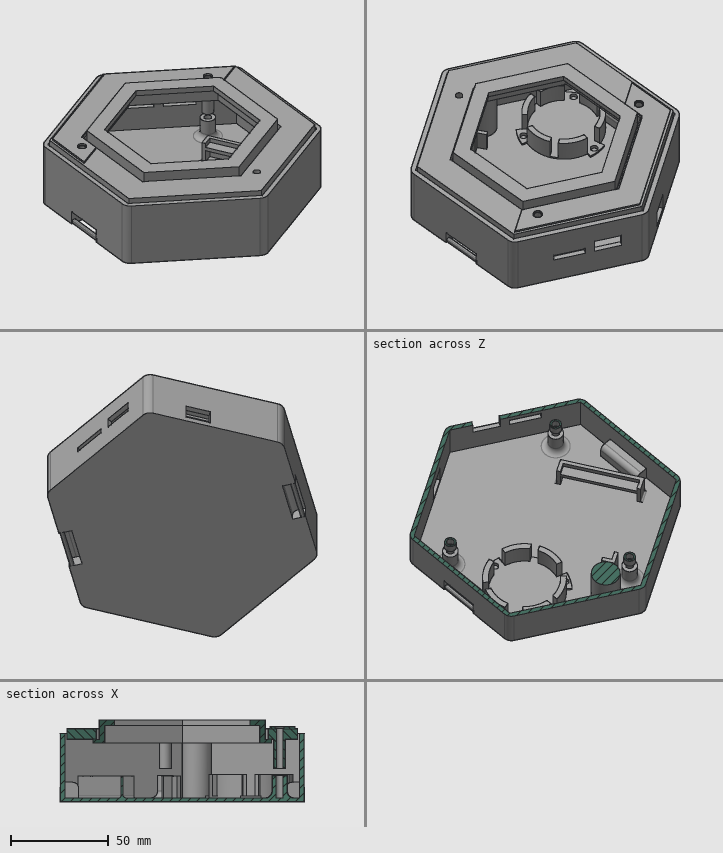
import cadquery as cq
import math


LENGTH_X = 142.8
CORNER_RADIUS = 5.1
WALL = 2.5
FLOOR = 2.0
RIB = 2.0
COS30 = math.cos(math.radians(30))
ROUNDED_CORNER_LOSS = 2 * CORNER_RADIUS * (1 / COS30 - 1)
HOUSING_FLATS = (LENGTH_X + ROUNDED_CORNER_LOSS) * COS30
CAVITY_FLATS = HOUSING_FLATS - 2 * WALL

HOUSING_TOP = 35.0
LID_TOP = 37.4
LID_BOTTOM = 32.0
PLATE_TOP = 38.4
FRAME_TOP = 42.0
FRAME_BOTTOM = 30.0
POST_TOP = 13.4
BOSS_BOTTOM = 17.0

LID_FLATS = 118.2
LID_OPENING_FLATS = 88.0
PLATE_OUTER_FLATS = 115.7
PLATE_INNER_FLATS = 89.7
PLATE_OUTER_TAIL = 27.3
PLATE_INNER_TAIL = 12.3
FRAME_OUTER_FLATS = 85.1
FRAME_CAVITY_FLATS = 79.1
FRAME_WINDOW_FLATS = 69.3
FRAME_FLANGE_FLATS = 91.4
FRAME_LIP = 3.0

SCREW_CIRCLE_RADIUS = 53.3
SCREW_ANGLES = [9.4 + step * 120 for step in range(3)]
LID_HOLE = 3.7
PLATE_HOLE = 4.7
POST_HOLE = 3.9
POST_DIAMETER = 8.0
POST_BASE_FILLET = 3.4
BOSS_DIAMETER = 6.1

CORNER_POST_DIAMETER = 15.0
CORNER_POST_PLACE = (51.4, -7.4)

POWER_WINDOW = (210, -9.0, 3.4, 12.9, 10.0)
SWITCH_WINDOW = (150, 15.1, 15.1, 14.4, 7.4)
CARD_WINDOW = (150, -5.4, 15.1, 16.8, 3.4)

STRAP_WIDTH = 21.1
STRAP_HEIGHT = 7.4
STRAP_DEPTH = 6.9
STRAP_ROUND = 3.0
STRAP_BAR_SETBACK = 0.5
STRAP_BAR_ROUND = 0.5
STRAP_BAR_HEIGHT = 2.4

SPEAKER_OFFSET = 40.5
SPEAKER_DIRECTION = -60
SPEAKER_BORE = 37.0
SPEAKER_WALL = 3.0
SPEAKER_GAP = 4.3
SPEAKER_PAD_TOP = 3.0
SPEAKER_WALL_TOP = 14.0
EAR_HOLE_BOTTOM = 1.0
EAR_HALF_ANGLE = 12.4
EAR_STEP = 120
EAR_ANGLES = [60 + step * EAR_STEP for step in range(3)]
EAR_OUTER_RADIUS = 24.4

BOARD_DIRECTION = 30
TRAY_START = -2.0
TRAY_LENGTH = 44.5
TRAY_INNER_SIDE = 29.7
TRAY_WIDTH = 7.4
TRAY_TOP = 13.1
TRAY_SHELF_DROP = 2.4
TRAY_SHELF = 2.0
TRAY_FOOT_FILLET = 1.0
BRACKET_SIZE = 7.0
BRACKET_CORNER = (42.0, -19.1)


def hexagon(flats, bottom, top):
    """Hexagonal prism with corners on the X axis."""
    return cq.Workplane("XY", origin=(0, 0, bottom)).polygon(6, flats / COS30).extrude(top - bottom)


def cylinder(place, diameter, bottom, top):
    return cq.Workplane("XY", origin=(*place, bottom)).circle(diameter / 2).extrude(top - bottom)


def block(x_range, y_range, z_range):
    """Box between two limits on each axis."""
    size = [limits[1] - limits[0] for limits in (x_range, y_range, z_range)]
    corner = (x_range[0], y_range[0], z_range[0])
    return cq.Workplane("XY").box(*size, centered=False).translate(corner)


def polar(radius, angle):
    turn = math.radians(angle)
    return (radius * math.cos(turn), radius * math.sin(turn))


def turned(shape, angle):
    return shape.rotate((0, 0, 0), (0, 0, 1), angle)


SPEAKER_PLACE = polar(SPEAKER_OFFSET, SPEAKER_DIRECTION)
SCREW_PLACES = [polar(SCREW_CIRCLE_RADIUS, angle) for angle in SCREW_ANGLES]


def wall_window(direction, along, bottom, width, height):
    middle = HOUSING_FLATS / 2
    cutter = block(
        (middle - 2 * WALL, middle + WALL),
        (along - width / 2, along + width / 2),
        (bottom, bottom + height),
    )
    return turned(cutter, direction)


def strap_tunnel_block(width, depth, height):
    """Block inward from the -Y face with its inner top edge rounded."""
    face = -HOUSING_FLATS / 2
    body = block((-width / 2, width / 2), (face, face + depth), (0, height))
    return body.edges("|X and >Y and >Z").fillet(STRAP_ROUND)


def strap_cover():
    return strap_tunnel_block(STRAP_WIDTH + 2 * WALL, STRAP_DEPTH + WALL, STRAP_HEIGHT + WALL)


def strap_passage():
    """Tunnel from the wall face to the underside, around a rounded bar set back in the wall."""
    face = -HOUSING_FLATS / 2
    bar = block(
        (-STRAP_WIDTH / 2, STRAP_WIDTH / 2),
        (face + STRAP_BAR_SETBACK, face + WALL),
        (0, STRAP_BAR_HEIGHT),
    )
    bar = bar.edges("|X").fillet(STRAP_BAR_ROUND)
    return strap_tunnel_block(STRAP_WIDTH, STRAP_DEPTH, STRAP_HEIGHT).cut(bar)


def screw_post(place):
    """Post flaring into the floor with a concave foot."""
    radius = POST_DIAMETER / 2
    foot_top = FLOOR + POST_BASE_FILLET
    diagonal = POST_BASE_FILLET * (1 - math.sqrt(0.5))
    profile = (
        cq.Workplane("XZ")
        .lineTo(radius + POST_BASE_FILLET, 0)
        .lineTo(radius + POST_BASE_FILLET, FLOOR)
        .threePointArc((radius + diagonal, FLOOR + diagonal), (radius, foot_top))
        .lineTo(radius, POST_TOP)
        .lineTo(0, POST_TOP)
        .close()
    )
    post = profile.revolve(360, (0, 0, 0), (0, 1, 0)).translate((*place, 0))
    return post.cut(cylinder(place, POST_HOLE, FLOOR, POST_TOP))


def ear_sector(angle, outer, top):
    """Slice of a round disc, one ear wide, reaching from the Z axis to the outer radius."""
    start, end = angle - EAR_HALF_ANGLE, angle + EAR_HALF_ANGLE
    return (
        cq.Workplane("XY")
        .lineTo(*polar(outer, start))
        .threePointArc(polar(outer, angle), polar(outer, end))
        .close()
        .extrude(top)
    )


def speaker_holder():
    """Low round pad with three ears, and a wall on its rim left open at the ears and between them."""
    inner = SPEAKER_BORE / 2
    outer = inner + SPEAKER_WALL
    pad = cylinder((0, 0), 2 * outer, 0, SPEAKER_PAD_TOP)
    wall = cq.Workplane("XY").circle(outer).circle(inner).extrude(SPEAKER_WALL_TOP)
    gap = block((0, 2 * outer), (-SPEAKER_GAP / 2, SPEAKER_GAP / 2), (0, SPEAKER_WALL_TOP))
    for angle in EAR_ANGLES:
        wall = wall.cut(turned(gap, angle + EAR_STEP / 2))
        wall = wall.cut(ear_sector(angle, 2 * outer, SPEAKER_WALL_TOP))
        pad = pad.union(ear_sector(angle, EAR_OUTER_RADIUS, SPEAKER_PAD_TOP))
    return pad.union(wall).translate((*SPEAKER_PLACE, 0))


def ear_holes():
    """Blind screw holes in the speaker ears."""
    reach = SPEAKER_BORE / 2 + SPEAKER_WALL
    hole = cylinder(SPEAKER_PLACE, POST_HOLE, EAR_HOLE_BOTTOM, SPEAKER_PAD_TOP)
    return [hole.translate((*polar(reach, angle), 0)) for angle in EAR_ANGLES]


def card_tray():
    """Raised shelf between two end walls, with a full wall along its outer side."""
    end = TRAY_START + TRAY_LENGTH
    outer_side = TRAY_INNER_SIDE + TRAY_WIDTH
    shelf_top = TRAY_TOP - TRAY_SHELF_DROP
    tray = block((TRAY_START, end), (TRAY_INNER_SIDE, outer_side), (FLOOR, TRAY_TOP))
    inside = (TRAY_START + RIB, end - RIB)
    depth = (TRAY_INNER_SIDE, outer_side - RIB)
    tray = tray.cut(block(inside, depth, (shelf_top, TRAY_TOP)))
    tray = tray.cut(block(inside, depth, (FLOOR, shelf_top - TRAY_SHELF)))
    return turned(tray, BOARD_DIRECTION)


def board_corner():
    """L-shaped upright."""
    x, y = BRACKET_CORNER
    heights = (0, TRAY_TOP)
    across = block((x - RIB, x), (y, y + BRACKET_SIZE), heights)
    along = block((x - BRACKET_SIZE, x), (y, y + RIB), heights)
    return turned(across.union(along), BOARD_DIRECTION)


def foot_strip(length):
    """Concave strip along X filling the corner between the floor and a wall at Y = 0."""
    radius = TRAY_FOOT_FILLET
    middle = radius * (1 - math.sqrt(0.5))
    return (
        cq.Workplane("YZ")
        .lineTo(radius, 0)
        .threePointArc((middle, middle), (0, radius))
        .close()
        .extrude(length)
    )


def tray_feet():
    """Concave foot along both ends and the outer side of the tray."""
    outer_side = TRAY_INNER_SIDE + TRAY_WIDTH
    end = TRAY_START + TRAY_LENGTH
    side = foot_strip(TRAY_LENGTH).translate((TRAY_START, outer_side, FLOOR))
    left = turned(foot_strip(TRAY_WIDTH), 90).translate((TRAY_START, TRAY_INNER_SIDE, FLOOR))
    right = turned(foot_strip(TRAY_WIDTH), -90).translate((end, outer_side, FLOOR))
    return turned(side.union(left).union(right), BOARD_DIRECTION)


def make_housing():
    housing = hexagon(HOUSING_FLATS, 0, HOUSING_TOP).edges("|Z").fillet(CORNER_RADIUS)
    housing = housing.cut(hexagon(CAVITY_FLATS, FLOOR, HOUSING_TOP))
    for place in SCREW_PLACES:
        housing = housing.union(screw_post(place))
    housing = housing.union(cylinder(CORNER_POST_PLACE, CORNER_POST_DIAMETER, 0, FRAME_BOTTOM))
    for detail in (speaker_holder(), card_tray(), tray_feet(), board_corner()):
        housing = housing.union(detail)
    for direction in (0, 180):
        housing = housing.union(turned(strap_cover(), direction))
    for direction in (0, 180):
        housing = housing.cut(turned(strap_passage(), direction))
    for hole in ear_holes():
        housing = housing.cut(hole)
    for window in (POWER_WINDOW, SWITCH_WINDOW, CARD_WINDOW):
        housing = housing.cut(wall_window(*window))
    return housing


def make_lid():
    lid = hexagon(LID_FLATS, LID_BOTTOM, LID_TOP)
    lid = lid.cut(hexagon(LID_OPENING_FLATS, LID_BOTTOM, LID_TOP))
    for place in SCREW_PLACES:
        lid = lid.union(cylinder(place, BOSS_DIAMETER, BOSS_BOTTOM, LID_TOP))
    for place in SCREW_PLACES:
        lid = lid.cut(cylinder(place, LID_HOLE, BOSS_BOTTOM, LID_TOP))
    return lid


def make_frame():
    """Window frame rising through the lid, held by a flange under it."""
    frame = hexagon(FRAME_OUTER_FLATS, FRAME_BOTTOM, FRAME_TOP)
    frame = frame.union(hexagon(FRAME_FLANGE_FLATS, FRAME_BOTTOM, LID_BOTTOM))
    frame = frame.cut(hexagon(FRAME_CAVITY_FLATS, FRAME_BOTTOM, FRAME_TOP - FRAME_LIP))
    return frame.cut(hexagon(FRAME_WINDOW_FLATS, FRAME_BOTTOM, FRAME_TOP))


def make_plate():
    """Label plate along the two -X sides of the lid, running on past the lower corner."""
    outer = PLATE_OUTER_FLATS / COS30 / 2
    inner = PLATE_INNER_FLATS / COS30 / 2
    outer_low = polar(outer, 240)
    inner_low = polar(inner, 240)
    plate = (
        cq.Workplane("XY", origin=(0, 0, LID_TOP))
        .polyline(
            [
                polar(outer, 120),
                polar(outer, 180),
                outer_low,
                (outer_low[0] + PLATE_OUTER_TAIL, outer_low[1]),
                (inner_low[0] + PLATE_INNER_TAIL, inner_low[1]),
                inner_low,
                polar(inner, 180),
                polar(inner, 120),
            ]
        )
        .close()
        .extrude(PLATE_TOP - LID_TOP)
    )
    for place in SCREW_PLACES:
        plate = plate.cut(cylinder(place, PLATE_HOLE, LID_TOP, PLATE_TOP))
    return plate


housing = make_housing()
lid = make_lid()
frame = make_frame()
plate = make_plate()

result = cq.Compound.makeCompound([housing.val(), lid.val(), frame.val(), plate.val()])